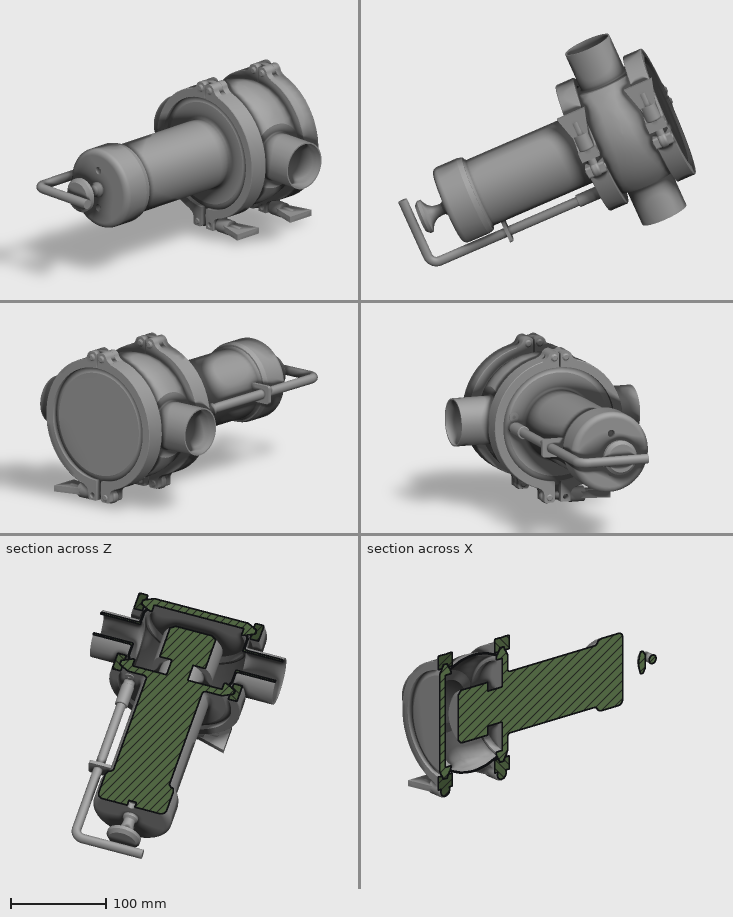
import cadquery as cq
import math

embed = 1.5
overall_length = 200.0
front_end = -250.0

sphere_radius = 67.3
wall = 1.5
pipe_radius = 51.0 / 2
bore_radius = pipe_radius - wall
pipe_pad_radius = 70 / 2
pipe_root_fillet = 1.8

joint_offset = 38.7
flange_radius = 66.0
flange_half_width = 2.7
cover_radius = 55.5
cover_thickness = 8.2

plug_radius = 65.5 / 2
plug_back = 21.0
plug_front = -20.0
plug_chamfer = 4.0
stem_radius = 47.8 / 2

barrel_radius = 74.5 / 2
barrel_root_fillet = 3.0
cap_radius = 86.0 / 2
cap_back = -167.0
cap_front = -204.5
cap_collar_radius = 39.5
cap_collar_length = 2.7
cap_back_chamfer_length = 5.5
cap_back_chamfer_depth = 1.5
cap_front_fillet = 6.0
cap_hole_diameter = 8.0
cap_hole_depth = 6.0
cap_hole_offset = 20.7

knob_base_radius = 16.0 / 2
knob_neck_radius = 6.0
knob_rim_radius = 18.3
knob_rim_direction = (1, -0.4)
knob_face_radius = 30.0 / 2
knob_base_end = -207.5
knob_neck_start = -210.0
knob_neck_end = -212.5
knob_rim_start = -228.0
knob_rim_end = -231.8
knob_face = -235.5

rod_radius = 10.0 / 2
rod_x = -50.0
rod_bend_radius = 9.7
handle_tip_x = 25.3
sleeve_neck_radius = 12.0 / 2
sleeve_radius = 13.7 / 2
sleeve_back = -52.5
sleeve_front = -77.0
sleeve_chamfer = 0.5
guide_left = -60.3
guide_right = -36.2
guide_height = 19.5
guide_back = -155.5
guide_thickness = 3.7
guide_corner_radius = 2.7

screw_diameter = 10.0
screw_socket_diameter = 3.7
screw_socket_depth = 1.5
screw_z = 11.3
screw_front = -47.8

clamp_radius = 70.7
clamp_opening_radius = 61.2
half_shift = 1.2
clamp_width = 20.5
clamp_edge_chamfer = 0.5
groove_clearance = 0.5
top_gap = (0.0, 2.0)
bottom_gap = (-4.5, 2.5)

hinge_xs = (-5.2, 7.5)
hinge_radius = 13.7 / 2
hinge_z = 72.0
link_radius = 6.7
hinge_slot = 6.0
hinge_fillet = 9.0
hinge_pin_length = 24.0
pin_radius = 8.0 / 2
pin_chamfer = 1.5

lug_bottom = -83.2
left_lug_side = -16.5
right_lug_side = 13.0
lug_fillet = 7.5
left_lug_slot = 9.0
lug_corner_fillet = 2.5
eye_pin_x = -10.5
eye_pin_length = 22.5
eye_radius = 15.0 / 2
eye_fillet = 3.0
bolt_z = -78.0
bolt_radius = 8.5 / 2
bolt_end = 45.0
cross_hole_x = 7.5
cross_hole_diameter = 6.0

nut_radius = 16.0 / 2
nut_end = 30.8
nut_fillet = 2.0
wing_start = 23.0
wing_end = 55.5
wing_span = 31.7
wing_root_span = 13.5
wing_thickness = 6.7


def y_cylinder(radius, start, end, x=0, z=0):
    """Cylinder along Y between two Y positions."""
    return cq.Workplane("XZ", origin=(x, start, z)).circle(radius).extrude(start - end)


def x_cylinder(radius, start, end, y=0, z=0):
    """Cylinder along X between two X positions."""
    return cq.Workplane("YZ", origin=(start, y, z)).circle(radius).extrude(end - start)


def block(x_limits, y_limits, z_limits):
    """Box between pairs of X, Y and Z limits."""
    sizes = [high - low for low, high in (x_limits, y_limits, z_limits)]
    corner = (x_limits[0], y_limits[0], z_limits[0])
    return cq.Workplane().box(*sizes, centered=False).translate(corner)


def turned(points):
    """Closed outline of (radius, y) points turned about the Y axis."""
    return cq.Workplane("XY").polyline(points).close().revolve(360, (0, 0, 0), (0, 1, 0))


def flange_outline():
    """Tapered outer edge of one joint, as (radius, y from the joint plane)."""
    return [
        (cover_radius, -cover_thickness),
        (flange_radius, -flange_half_width),
        (flange_radius, flange_half_width),
        (cover_radius, cover_thickness),
    ]


def joint(side):
    """Flange pair with its cover; side is +1 at the back and -1 at the front."""
    inner = math.sqrt((sphere_radius - wall) ** 2 - joint_offset ** 2)
    outline = [
        (0, 0),
        (inner, 0),
        (inner, -cover_thickness),
        *flange_outline(),
        (0, cover_thickness),
    ]
    return turned([(r, side * (joint_offset + y)) for r, y in outline])


def housing_shell():
    """Hollow sphere, cut off at both joints and flattened around the pipes."""
    pad_x = math.sqrt(sphere_radius ** 2 - pipe_pad_radius ** 2)
    limits = cq.Workplane().box(2 * pad_x, 2 * joint_offset, 3 * sphere_radius)
    shell = cq.Workplane().sphere(sphere_radius).intersect(limits)
    half_length = overall_length / 2
    for side in (-1, 1):
        shell = shell.union(x_cylinder(pipe_radius, side * (pad_x - embed), side * half_length))
        root_radius = pipe_radius + pipe_root_fillet
        collar = (
            cq.Workplane("XY")
            .moveTo(pad_x - embed, 0)
            .lineTo(pad_x - embed, root_radius)
            .lineTo(pad_x, root_radius)
            .radiusArc((pad_x + pipe_root_fillet, pipe_radius), -pipe_root_fillet)
            .lineTo(pad_x + pipe_root_fillet, 0)
            .close()
            .revolve(360, (0, 0, 0), (1, 0, 0))
        )
        shell = shell.union(collar if side > 0 else collar.mirror("YZ"))
    cavity_limits = cq.Workplane().box(2 * (pad_x - wall), 2 * joint_offset, 3 * sphere_radius)
    cavity = cq.Workplane().sphere(sphere_radius - wall).intersect(cavity_limits)
    return shell.cut(cavity).cut(x_cylinder(bore_radius, -half_length, half_length))


def plug():
    """Plug across the flow, carried by a stem on the front cover."""
    body = y_cylinder(plug_radius, plug_back, plug_front).faces(">Y").chamfer(plug_chamfer)
    return body.union(y_cylinder(stem_radius, plug_front, -joint_offset - embed))


def actuator():
    """Barrel with a flared root and the cap with its two spanner holes."""
    root = -(joint_offset + cover_thickness)
    barrel = y_cylinder(barrel_radius, root + embed, cap_back)
    flare = (
        cq.Workplane("XY")
        .moveTo(0, root)
        .lineTo(barrel_radius + barrel_root_fillet, root)
        .radiusArc((barrel_radius, root - barrel_root_fillet), -barrel_root_fillet)
        .lineTo(0, root - barrel_root_fillet)
        .close()
        .revolve(360, (0, 0, 0), (0, 1, 0))
    )
    shoulder = cap_back - cap_collar_length
    cap = turned([
        (0, cap_back),
        (barrel_radius, cap_back),
        (cap_collar_radius, shoulder),
        (cap_radius - cap_back_chamfer_depth, shoulder),
        (cap_radius, shoulder - cap_back_chamfer_length),
        (cap_radius, cap_front),
        (0, cap_front),
    ])
    cap = cap.faces("<Y").edges().fillet(cap_front_fillet)
    for z in (-cap_hole_offset, cap_hole_offset):
        hole = y_cylinder(cap_hole_diameter / 2, cap_front + cap_hole_depth, cap_front, z=z)
        cap = cap.cut(hole)
    return barrel.union(flare).union(cap)


def knob():
    """Pull knob with a neck that sweeps out to its rim."""
    return (
        cq.Workplane("XY")
        .moveTo(0, cap_front + embed)
        .lineTo(knob_base_radius, cap_front + embed)
        .lineTo(knob_base_radius, knob_base_end)
        .lineTo(knob_neck_radius, knob_neck_start)
        .lineTo(knob_neck_radius, knob_neck_end)
        .spline(
            [(knob_rim_radius, knob_rim_start)],
            tangents=[(0, -1), knob_rim_direction],
            includeCurrent=True,
        )
        .lineTo(knob_rim_radius, knob_rim_end)
        .lineTo(knob_face_radius, knob_face)
        .lineTo(0, knob_face)
        .close()
        .revolve(360, (0, 0, 0), (0, 1, 0))
    )


def handle():
    """Bent rod, the sleeve that ties it to the front cover, and its guide plate."""
    cover_inside = -joint_offset - embed
    arm_y = front_end + rod_radius
    bend_middle = rod_bend_radius * (1 - math.sqrt(0.5))
    path = (
        cq.Workplane("XY")
        .moveTo(rod_x, sleeve_back)
        .lineTo(rod_x, arm_y + rod_bend_radius)
        .threePointArc((rod_x + bend_middle, arm_y + bend_middle), (rod_x + rod_bend_radius, arm_y))
        .lineTo(handle_tip_x, arm_y)
    )
    rod = cq.Workplane("XZ", origin=(rod_x, sleeve_back, 0)).circle(rod_radius).sweep(path)
    neck = y_cylinder(sleeve_neck_radius, cover_inside, sleeve_back, x=rod_x)
    sleeve = y_cylinder(sleeve_radius, sleeve_back, sleeve_front, x=rod_x)
    sleeve = sleeve.faces("<Y or >Y").edges().chamfer(sleeve_chamfer)
    guide = block(
        (guide_left, guide_right),
        (guide_back - guide_thickness, guide_back),
        (-guide_height / 2, guide_height / 2),
    )
    guide = guide.edges("|Y and <X").fillet(guide_corner_radius)
    return rod.union(neck).union(sleeve).union(guide)


def cover_screw():
    """Socketed screw standing on the front cover."""
    screw = y_cylinder(screw_diameter / 2, -joint_offset - embed, screw_front, rod_x, screw_z)
    return screw.faces("<Y").workplane().hole(screw_socket_diameter, screw_socket_depth)


def make_valve():
    """Housing with its covers, plug, actuator, knob and handle."""
    valve = housing_shell()
    features = (joint(1), joint(-1), plug(), actuator(), knob(), handle(), cover_screw())
    for feature in features:
        valve = valve.union(feature)
    return valve


clamp_half_width = clamp_width / 2
clamp_depth = (-clamp_half_width, clamp_half_width)
lug_top = -flange_radius - groove_clearance


def clamp_cylinder(radius, x=0, z=0):
    """Cylinder along Y over the full clamp width."""
    return y_cylinder(radius, *clamp_depth, x, z)


def half_ring(side):
    """Half of the ring; side is -1 on the left and +1 on the right."""
    ring = clamp_cylinder(clamp_radius).faces("<Y or >Y").edges().chamfer(clamp_edge_chamfer)
    ring = ring.cut(clamp_cylinder(clamp_opening_radius)).translate((side * half_shift, 0, 0))
    split_x = sum(top_gap) / 2
    x_limits = sorted((split_x, side * 2 * clamp_radius))
    return ring.intersect(block(x_limits, clamp_depth, (-2 * clamp_radius, 2 * clamp_radius)))


def concave_web(corner, centre, radius):
    """Fills the corner between the ring and a lug, hollowed by an arc about the centre."""
    web = cq.Workplane("XZ").polyline([(0, 0), corner, centre]).close()
    web = web.extrude(clamp_half_width, both=True)
    return web.cut(clamp_cylinder(radius, *centre)).cut(clamp_cylinder(-lug_top))


def hinge_ear(pin_x, side):
    """Ear around one hinge pin, blended into the ring on its outer side."""
    ring_reach = clamp_radius + hinge_fillet
    ear_reach = hinge_radius + hinge_fillet
    ring_x = side * half_shift
    pin_reach = math.hypot(pin_x - ring_x, hinge_z)
    cosine = (ring_reach ** 2 + pin_reach ** 2 - ear_reach ** 2) / (2 * ring_reach * pin_reach)
    angle = math.atan2(pin_x - ring_x, hinge_z) + side * math.acos(cosine)
    centre = (ring_x + ring_reach * math.sin(angle), ring_reach * math.cos(angle))
    ear = clamp_cylinder(hinge_radius, pin_x, hinge_z).cut(clamp_cylinder(-lug_top))
    ear = ear.union(concave_web((pin_x, hinge_z), centre, hinge_fillet))
    slot_reach = hinge_radius + 2 * hinge_fillet
    slot = block(
        (pin_x - slot_reach, pin_x + slot_reach),
        (-hinge_slot / 2, hinge_slot / 2),
        (0, hinge_z + slot_reach),
    )
    return ear.cut(slot)


def hinge_link():
    """Link between the ears, with the two pins that hold it."""
    spacing = hinge_xs[1] - hinge_xs[0]
    link = (
        cq.Workplane("XZ", origin=(sum(hinge_xs) / 2, 0, hinge_z))
        .slot2D(spacing + 2 * link_radius, 2 * link_radius)
        .extrude(hinge_slot / 2, both=True)
        .cut(clamp_cylinder(-lug_top))
    )
    for pin_x in hinge_xs:
        link = link.union(cross_pin(hinge_pin_length, pin_x, hinge_z))
    return link


def cross_pin(length, x, z):
    """Chamfered pin along Y."""
    pin = y_cylinder(pin_radius, length / 2, -length / 2, x, z)
    return pin.faces("<Y or >Y").chamfer(pin_chamfer)


def bolt_lug(lug_side, gap_side):
    """Lug below the ring, blended into it on its outer side."""
    outward = math.copysign(1, lug_side)
    x_limits = sorted((lug_side, gap_side))
    lug = block(x_limits, clamp_depth, (lug_bottom, lug_top))
    centre_x = lug_side + outward * lug_fillet
    ring_distance = centre_x - outward * half_shift
    centre_z = -math.sqrt((clamp_radius + lug_fillet) ** 2 - ring_distance ** 2)
    web = concave_web((lug_side, centre_z), (centre_x, centre_z), lug_fillet)
    return lug.union(web)


def eye_lug():
    """Left lug, slotted for the eye of the bolt."""
    lug = bolt_lug(left_lug_side, bottom_gap[0]).edges("|Y and <Z").fillet(lug_corner_fillet)
    slot = block(
        (left_lug_side - lug_fillet, bottom_gap[0]),
        (-left_lug_slot / 2, left_lug_slot / 2),
        (lug_bottom, -clamp_radius),
    )
    return lug.cut(slot)


def nut_lug():
    """Right lug, with a hole across the bolt."""
    hole = clamp_cylinder(cross_hole_diameter / 2, cross_hole_x, bolt_z)
    return bolt_lug(right_lug_side, bottom_gap[1]).cut(hole)


def eye_bolt():
    """Eye bolt on its pin."""
    half_eye = left_lug_slot / 2
    eye = y_cylinder(eye_radius, half_eye, -half_eye, eye_pin_x, bolt_z)
    eye = eye.faces("<Y or >Y").edges().fillet(eye_fillet)
    shank = x_cylinder(bolt_radius, eye_pin_x, bolt_end, z=bolt_z)
    return eye.union(shank).union(cross_pin(eye_pin_length, eye_pin_x, bolt_z))


def wing_nut():
    """Round nut with two flat wings that widen away from the clamp."""
    nut = x_cylinder(nut_radius, right_lug_side, nut_end, z=bolt_z).faces("<X").edges().fillet(nut_fillet)
    wings = (
        cq.Workplane("XY", origin=(0, 0, bolt_z))
        .polyline([
            (wing_start, -wing_root_span / 2),
            (wing_end, -wing_span / 2),
            (wing_end, wing_span / 2),
            (wing_start, wing_root_span / 2),
        ])
        .close()
        .extrude(wing_thickness / 2, both=True)
    )
    return nut.union(wings)


def make_clamp(y):
    """Clamp for the joint at the given Y position."""
    clamp = half_ring(-1).union(half_ring(1))
    for pin_x, side in zip(hinge_xs, (-1, 1)):
        clamp = clamp.union(hinge_ear(pin_x, side))
    clamp = clamp.cut(turned(flange_outline() + [(0, cover_thickness), (0, -cover_thickness)]))
    clamp = clamp.cut(block(top_gap, clamp_depth, (0, hinge_z + hinge_radius)))
    clamp = clamp.cut(block(bottom_gap, clamp_depth, (-clamp_radius, 0)))
    for feature in (hinge_link(), eye_lug(), nut_lug(), eye_bolt(), wing_nut()):
        clamp = clamp.union(feature)
    return clamp.translate((0, y, 0))


valve = make_valve()
clamps = [make_clamp(y) for y in (-joint_offset, joint_offset)]
result = cq.Compound.makeCompound([valve.val(), *[clamp.val() for clamp in clamps]])